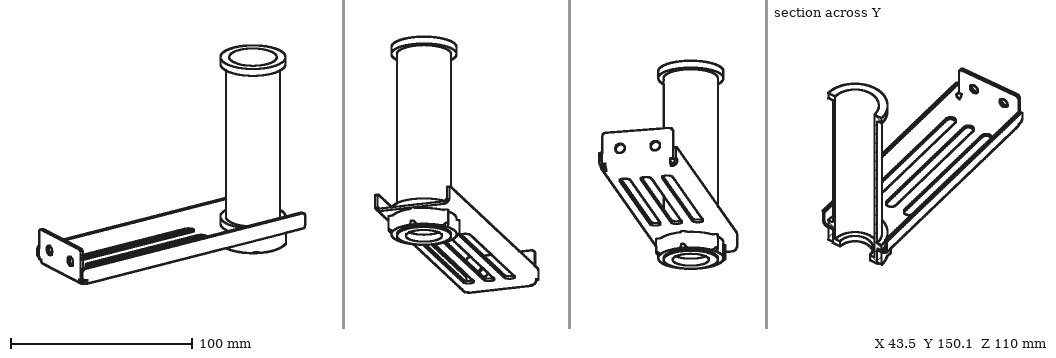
import cadquery as cq
import math


bracket_length = 150.1
bracket_width = 43.5
sheet_thickness = 1.5
bend_inner_radius = 2.0
bend_outer_radius = bend_inner_radius + sheet_thickness
side_height = 10.4
end_plate_height = 21.3
end_plate_width = 40.0
corner_radius = 2.0
axis_to_back = 20.0
back_y = axis_to_back
front_y = back_y - bracket_length
bend_start_x = bracket_width / 2 - bend_outer_radius
bend_start_y = front_y + bend_outer_radius

slot_width = 6.0
slot_length = 80.2
slot_pitch = 12.0
slot_count = 3
slot_center_y = -72.0

screw_hole_diameter = 5.4
screw_hole_spacing = 20.0
screw_hole_height = 11.5

tube_diameter = 30.0
tube_bore_diameter = 26.3
tube_top = 100.0
tube_bottom = -10.0
tube_floor_thickness = 4.0
tube_floor_hole_diameter = 20.0
flange_diameter = 36.0
flange_thickness = 4.0
bracket_hole_diameter = 30.2

nut_height = 9.2
nut_radius = 18.0
rib_count = 6
rib_reach = 20.0
rib_tip_radius = 1.2
rib_blend_radius = 2.0
rib_chamfer_height = 1.7


def bend_profile(plane, edge):
    """Quarter-ring bend section whose outer face reaches `edge` on the plane's x axis."""
    start = edge - bend_outer_radius
    diagonal = math.sqrt(0.5)
    return (
        cq.Workplane(plane)
        .moveTo(start, 0)
        .threePointArc(
            (start + bend_outer_radius * diagonal, bend_outer_radius * (1 - diagonal)),
            (edge, bend_outer_radius),
        )
        .lineTo(edge - sheet_thickness, bend_outer_radius)
        .threePointArc(
            (start + bend_inner_radius * diagonal, bend_outer_radius - bend_inner_radius * diagonal),
            (start, sheet_thickness),
        )
        .close()
    )


def make_floor():
    return cq.Workplane("XY").box(
        2 * bend_start_x, back_y - bend_start_y, sheet_thickness, centered=(True, False, False)
    ).translate((0, bend_start_y, 0))


def make_side():
    """Side wall on +X, with its bend; the bend stops short of the front corner."""
    wall = (
        cq.Workplane("XY")
        .box(sheet_thickness, bracket_length, side_height - bend_outer_radius, centered=False)
        .translate((bracket_width / 2 - sheet_thickness, front_y, bend_outer_radius))
        .edges("|X and (>Z or <Y)")
        .fillet(corner_radius)
    )
    back_plane = cq.Plane(origin=(0, back_y, 0), xDir=(1, 0, 0), normal=(0, -1, 0))
    bend = bend_profile(back_plane, bracket_width / 2).extrude(back_y - bend_start_y)
    return wall.union(bend)


def make_end_plate():
    """Upright plate at the front end, with its bend and two screw holes."""
    plate = (
        cq.Workplane("XY")
        .box(end_plate_width, sheet_thickness, end_plate_height - bend_outer_radius,
             centered=(True, False, False))
        .translate((0, front_y, bend_outer_radius))
        .edges("|Y and >Z")
        .fillet(corner_radius)
    )
    screw_holes = (
        cq.Workplane("XZ", origin=(0, front_y + sheet_thickness, screw_hole_height))
        .rarray(screw_hole_spacing, 1.5, 2, 1)
        .circle(screw_hole_diameter / 2)
        .extrude(sheet_thickness)
    )
    bend_plane = cq.Plane(origin=(bend_start_x, 0, 0), xDir=(0, -1, 0), normal=(-1, 0, 0))
    bend = bend_profile(bend_plane, -front_y).extrude(2 * bend_start_x)
    return plate.cut(screw_holes).union(bend)


def make_bracket():
    side = make_side()
    slots = (
        cq.Workplane("XY", origin=(0, slot_center_y, 0))
        .rarray(slot_pitch, 1.5, slot_count, 1)
        .slot2D(slot_length, slot_width, 90)
        .extrude(sheet_thickness)
    )
    tube_hole = cq.Workplane("XY").circle(bracket_hole_diameter / 2).extrude(sheet_thickness)
    return (
        make_floor()
        .union(side)
        .union(side.mirror("YZ"))
        .union(make_end_plate())
        .cut(slots)
        .cut(tube_hole)
    )


def make_tube():
    outside = (
        cq.Workplane("XY", origin=(0, 0, tube_bottom))
        .circle(tube_diameter / 2)
        .extrude(tube_top - tube_bottom)
    )
    for flange_bottom in (sheet_thickness, tube_top - flange_thickness):
        flange = (
            cq.Workplane("XY", origin=(0, 0, flange_bottom))
            .circle(flange_diameter / 2)
            .extrude(flange_thickness)
        )
        outside = outside.union(flange)
    bore = (
        cq.Workplane("XY", origin=(0, 0, tube_bottom + tube_floor_thickness))
        .circle(tube_bore_diameter / 2)
        .extrude(tube_top - tube_bottom)
    )
    floor_hole = (
        cq.Workplane("XY", origin=(0, 0, tube_bottom))
        .circle(tube_floor_hole_diameter / 2)
        .extrude(tube_floor_thickness)
    )
    return outside.cut(bore).cut(floor_hole)


def rib_outline():
    """Rib on +X: a round tip that flows through a concave arc on each side into the nut's cylinder."""
    tip_center = rib_reach - rib_tip_radius
    blend_center = nut_radius + rib_blend_radius
    center_distance = rib_tip_radius + rib_blend_radius
    blend_angle = math.acos(
        (tip_center**2 + blend_center**2 - center_distance**2) / (2 * tip_center * blend_center)
    )
    blend_x = blend_center * math.cos(blend_angle)
    blend_y = blend_center * math.sin(blend_angle)
    foot_x = nut_radius * math.cos(blend_angle)
    foot_y = nut_radius * math.sin(blend_angle)
    tip_share = rib_tip_radius / center_distance
    meet_x = tip_center + (blend_x - tip_center) * tip_share
    meet_y = blend_y * tip_share
    middle_angle = (
        math.atan2(foot_y - blend_y, foot_x - blend_x) % (2 * math.pi)
        + math.atan2(meet_y - blend_y, meet_x - blend_x) % (2 * math.pi)
    ) / 2
    middle_x = blend_x + rib_blend_radius * math.cos(middle_angle)
    middle_y = blend_y + rib_blend_radius * math.sin(middle_angle)
    return (
        cq.Workplane("XY", origin=(0, 0, -nut_height))
        .moveTo(0, 0)
        .lineTo(foot_x, -foot_y)
        .threePointArc((middle_x, -middle_y), (meet_x, -meet_y))
        .threePointArc((rib_reach, 0), (meet_x, meet_y))
        .threePointArc((middle_x, middle_y), (foot_x, foot_y))
        .close()
    )


def make_nut():
    nut = cq.Workplane("XY", origin=(0, 0, -nut_height)).circle(nut_radius).extrude(nut_height)
    rib = rib_outline().extrude(nut_height)
    for index in range(rib_count):
        angle = 90 + index * 360 / rib_count
        nut = nut.union(rib.rotate((0, 0, 0), (0, 0, 1), angle))
    envelope = (
        cq.Workplane("XZ")
        .moveTo(0, -nut_height)
        .lineTo(nut_radius, -nut_height)
        .lineTo(rib_reach, rib_chamfer_height - nut_height)
        .lineTo(rib_reach, 0)
        .lineTo(0, 0)
        .close()
        .revolve(360, (0, 0, 0), (0, 1, 0))
    )
    bore = cq.Workplane("XY", origin=(0, 0, -nut_height)).circle(tube_diameter / 2).extrude(nut_height)
    return nut.intersect(envelope).cut(bore)


bracket = make_bracket()
tube = make_tube()
nut = make_nut()

result = cq.Compound.makeCompound([bracket.val(), tube.val(), nut.val()])